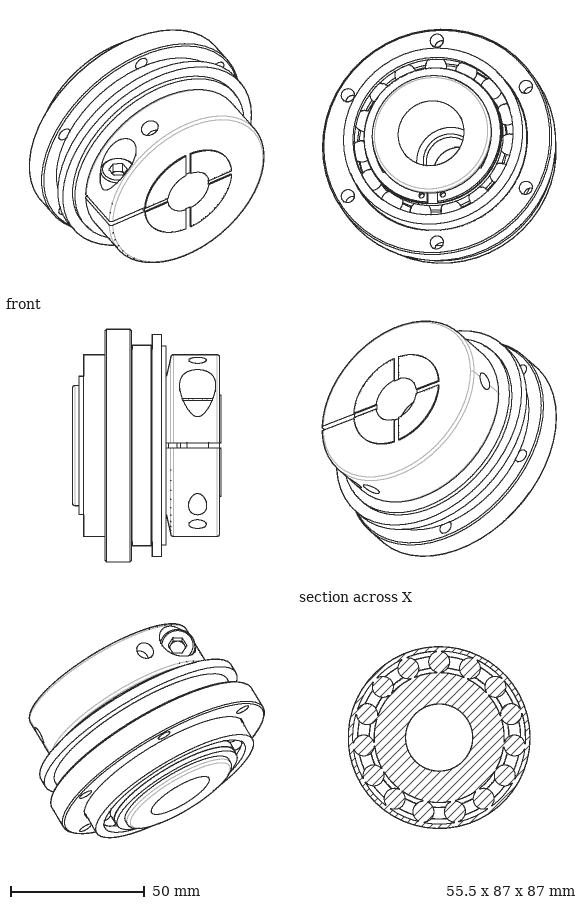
import cadquery as cq
import math

hub_end_x = 2.4
race_face_x = 4.2
flange_start_x = 12.15
flange_end_x = 22.1
body_start_x = 22.3
body_end_x = 29.4
disc_start_x = 29.8
disc_end_x = 33.3
back_plate_end_x = 35.0
collar_start_x = 36.7
collar_end_x = 55.0
total_length = 55.5

hub_dia = 45.0
race_outer_dia = 68.0
flange_dia = 87.0
body_dia = 75.0
neck_dia = 72.0
disc_dia = 83.0
back_plate_dia = 74.4
cone_small_dia = 51.0
collar_dia = 68.0
boss_dia = 38.0

hub_round = 1.0
flange_chamfer = 0.6
collar_round = 1.0

bore_dia = 25.0
bore_depth = 39.1
small_bore_dia = 18.0
bore_chamfer = 1.0

ball_dia = 8.0
ball_count = 15
raceway_groove_dia = 7.9
raceway_inner_dia = 52.3
raceway_outer_dia = 60.8
ball_pitch_dia = (raceway_inner_dia + raceway_outer_dia) / 2
bearing_width = 12.2
ball_center_x = race_face_x + bearing_width / 2

pilot_gap = 0.3
pilot_gap_depth = 1.0

ring_dia = 51.8
ring_groove_dia = 42.5
ring_gap = 4.0
ring_inner_radius = 22.0
ring_inner_drop = 1.9
ring_ear_top_z = -13.6
plier_hole_dia = 2.0
plier_hole_spacing = 8.1
plier_hole_drop = 23.2

flange_hole_dia = 5.0
flange_hole_count = 6
flange_hole_circle_dia = 78.0

slot_width = 2.0
sleeve_neck_dia = 35.6
sleeve_neck_start_x = 35.8
sleeve_neck_end_x = 39.1
clamp_x = 46.75
screw_y = -25.5
counterbore_dia = 13.5
clearance_dia = 8.5
thread_core_dia = 6.8
head_dia = 13.0
head_top_z = 17.5
head_height = 9.0
head_chamfer = 0.7
head_seat_z = head_top_z - head_height
shank_dia = 8.0
shank_end_z = -14.0
hex_across_flats = 6.0
hex_depth = 4.0
drill_tip_angle = 118.0

spanner_hole_depth = 6.5
spanner_holes = ((6.5, 20.0), (6.5, 150.0), (6.5, 270.0))


def disc(x_start, x_end, diameter):
    """Solid cylinder on the X axis."""
    return cq.Workplane("YZ").workplane(offset=x_start).circle(diameter / 2).extrude(x_end - x_start)


def tube(x_start, x_end, outer_dia, inner_dia):
    """Hollow cylinder on the X axis."""
    return disc(x_start, x_end, outer_dia).cut(disc(x_start, x_end, inner_dia))


def upright(z_start, z_end, diameter):
    """Vertical cylinder on the clamp screw axis."""
    column = cq.Workplane("XY", origin=(clamp_x, screw_y, z_start)).circle(diameter / 2)
    return column.extrude(z_end - z_start)


def drill_tip_length(diameter):
    return diameter / 2 / math.tan(math.radians(drill_tip_angle / 2))


def make_turned_body():
    """Hub, outer race, flange, body and discs, all turned about the X axis."""
    hub = disc(0, race_face_x, hub_dia).faces("<X").edges().fillet(hub_round)
    hub = hub.cut(tube(hub_end_x, race_face_x, hub_dia, ring_groove_dia))
    flange = disc(flange_start_x, flange_end_x, flange_dia).edges().chamfer(flange_chamfer)
    body = hub.union(disc(race_face_x, flange_start_x, race_outer_dia)).union(flange)
    body = body.union(disc(flange_end_x, disc_start_x, neck_dia))
    body = body.union(disc(body_start_x, body_end_x, body_dia))
    body = body.union(disc(disc_start_x, disc_end_x, disc_dia))
    body = body.union(disc(disc_end_x, back_plate_end_x, back_plate_dia))
    return body.cut(tube(flange_start_x, flange_start_x + pilot_gap_depth,
                         race_outer_dia + 2 * pilot_gap, race_outer_dia))


def make_collar():
    """Round collar that tapers down to the back plate and carries a thin boss on its end."""
    collar_radius = collar_dia / 2
    arc_inset = collar_round * (1 - math.cos(math.pi / 4))
    collar = (
        cq.Workplane("XY")
        .moveTo(back_plate_end_x, 0)
        .lineTo(back_plate_end_x, cone_small_dia / 2)
        .lineTo(collar_start_x, collar_radius - collar_round)
        .threePointArc(
            (collar_start_x + arc_inset, collar_radius - arc_inset),
            (collar_start_x + collar_round, collar_radius),
        )
        .lineTo(collar_end_x, collar_radius)
        .lineTo(collar_end_x, 0)
        .close()
        .revolve(360, (0, 0, 0), (1, 0, 0))
    )
    collar = collar.faces(">X").edges().fillet(collar_round)
    return collar.union(disc(collar_end_x, total_length, boss_dia))


def cut_bore(part):
    chamfer_cone = (
        cq.Workplane("YZ")
        .workplane(offset=bore_depth)
        .circle(small_bore_dia / 2 + bore_chamfer)
        .workplane(offset=bore_chamfer)
        .circle(small_bore_dia / 2)
        .loft()
    )
    part = part.cut(disc(0, bore_depth, bore_dia))
    return part.cut(disc(0, total_length, small_bore_dia)).cut(chamfer_cone)


def add_bearing(part):
    """Open the gap between the races, cut their rounded raceways and seat the balls in them."""
    race_end_x = race_face_x + bearing_width
    part = part.cut(tube(race_face_x, race_end_x, raceway_outer_dia, raceway_inner_dia))
    raceway = cq.Solid.makeTorus(
        ball_pitch_dia / 2, raceway_groove_dia / 2, cq.Vector(ball_center_x, 0, 0), cq.Vector(1, 0, 0)
    )
    part = part.cut(cq.Workplane(raceway))
    for index in range(ball_count):
        angle = 2 * math.pi * index / ball_count
        y = ball_pitch_dia / 2 * math.sin(angle)
        z = ball_pitch_dia / 2 * math.cos(angle)
        ball = cq.Workplane("XY", origin=(ball_center_x, y, z)).sphere(ball_dia / 2, direct=(1, 0, 0))
        part = part.union(ball)
    return part


def make_snap_ring():
    """Ring whose eccentric inner edge leaves a thin crescent above each ear."""
    width = race_face_x - hub_end_x
    ring = tube(hub_end_x, race_face_x, ring_dia, ring_groove_dia)
    relief = (
        cq.Workplane("YZ", origin=(hub_end_x, 0, -ring_inner_drop))
        .circle(ring_inner_radius)
        .extrude(width)
    )
    above_ears = cq.Workplane("XY").box(width, ring_dia, ring_dia, centered=(False, True, False))
    relief = relief.intersect(above_ears.translate((hub_end_x, 0, ring_ear_top_z)))
    opening = cq.Workplane("XY").box(width, ring_gap, ring_dia / 2, centered=(False, True, False))
    opening = opening.translate((hub_end_x, 0, -ring_dia / 2))
    plier_holes = (
        cq.Workplane("YZ", origin=(hub_end_x, 0, -plier_hole_drop))
        .pushPoints([(-plier_hole_spacing / 2, 0), (plier_hole_spacing / 2, 0)])
        .circle(plier_hole_dia / 2)
        .extrude(width)
    )
    return ring.cut(relief).cut(opening).cut(plier_holes)


def cut_flange_holes(part):
    holes = (
        cq.Workplane("YZ", origin=(flange_start_x, 0, 0))
        .polarArray(flange_hole_circle_dia / 2, 90, 360, flange_hole_count)
        .circle(flange_hole_dia / 2)
        .extrude(body_start_x - flange_start_x)
    )
    return part.cut(holes)


def make_inner_sleeve():
    """Sleeve inside the collar, as wide as the boss, with a neck that ends in a 45 degree shoulder."""
    sleeve_radius = boss_dia / 2
    neck_radius = sleeve_neck_dia / 2
    return (
        cq.Workplane("XY")
        .moveTo(back_plate_end_x, 0)
        .lineTo(back_plate_end_x, sleeve_radius)
        .lineTo(sleeve_neck_start_x, sleeve_radius)
        .lineTo(sleeve_neck_start_x, neck_radius)
        .lineTo(sleeve_neck_end_x, neck_radius)
        .lineTo(sleeve_neck_end_x + sleeve_radius - neck_radius, sleeve_radius)
        .lineTo(total_length, sleeve_radius)
        .lineTo(total_length, 0)
        .close()
        .revolve(360, (0, 0, 0), (1, 0, 0))
    )


def cut_clamp_slots(part):
    """Split the collar on its -Y side down to the sleeve and cross-cut the end boss."""
    split_length = total_length - back_plate_end_x
    split = cq.Workplane("XY").box(split_length, collar_dia / 2, slot_width, centered=(False, False, True))
    split = split.translate((back_plate_end_x, -collar_dia / 2, 0))
    part = part.cut(split.cut(make_inner_sleeve()))
    boss_length = total_length - collar_end_x
    for size_y, size_z in ((boss_dia, slot_width), (slot_width, boss_dia)):
        groove = cq.Workplane("XY").box(boss_length, size_y, size_z, centered=(False, True, True))
        part = part.cut(groove.translate((collar_end_x, 0, 0)))
    return part


def cut_screw_hole(part):
    part = part.cut(upright(head_seat_z, collar_dia / 2, counterbore_dia))
    part = part.cut(upright(0, head_seat_z, clearance_dia))
    return part.cut(upright(-collar_dia / 2, 0, thread_core_dia))


def make_clamp_screw():
    head = upright(head_seat_z, head_top_z, head_dia).faces(">Z").edges().chamfer(head_chamfer)
    hex_sides = 6
    hex_corner_dia = hex_across_flats / math.cos(math.pi / hex_sides)
    hex_floor_z = head_top_z - hex_depth
    socket = cq.Workplane("XY", origin=(clamp_x, screw_y, hex_floor_z)).polygon(hex_sides, hex_corner_dia)
    tip_length = drill_tip_length(hex_across_flats)
    tip = cq.Solid.makeCone(
        0, hex_across_flats / 2, tip_length, cq.Vector(clamp_x, screw_y, hex_floor_z - tip_length)
    )
    head = head.cut(socket.extrude(hex_depth)).cut(cq.Workplane(tip))
    return upright(shank_end_z, head_seat_z, shank_dia).union(head)


def cut_spanner_holes(part):
    for diameter, angle in spanner_holes:
        floor_radius = collar_dia / 2 - spanner_hole_depth
        outward = cq.Vector(0, -math.sin(math.radians(angle)), math.cos(math.radians(angle)))
        floor_center = cq.Vector(clamp_x, 0, 0) + outward * floor_radius
        shaft = cq.Solid.makeCylinder(diameter / 2, 2 * spanner_hole_depth, floor_center, outward)
        tip = cq.Solid.makeCone(diameter / 2, 0, drill_tip_length(diameter), floor_center, outward * -1)
        part = part.cut(cq.Workplane(shaft)).cut(cq.Workplane(tip))
    return part


part = make_turned_body().union(make_collar())
part = cut_bore(part)
part = add_bearing(part)
part = part.union(make_snap_ring())
part = cut_flange_holes(part)
part = cut_clamp_slots(part)
part = cut_screw_hole(part)
part = part.union(make_clamp_screw())
result = cut_spanner_holes(part)